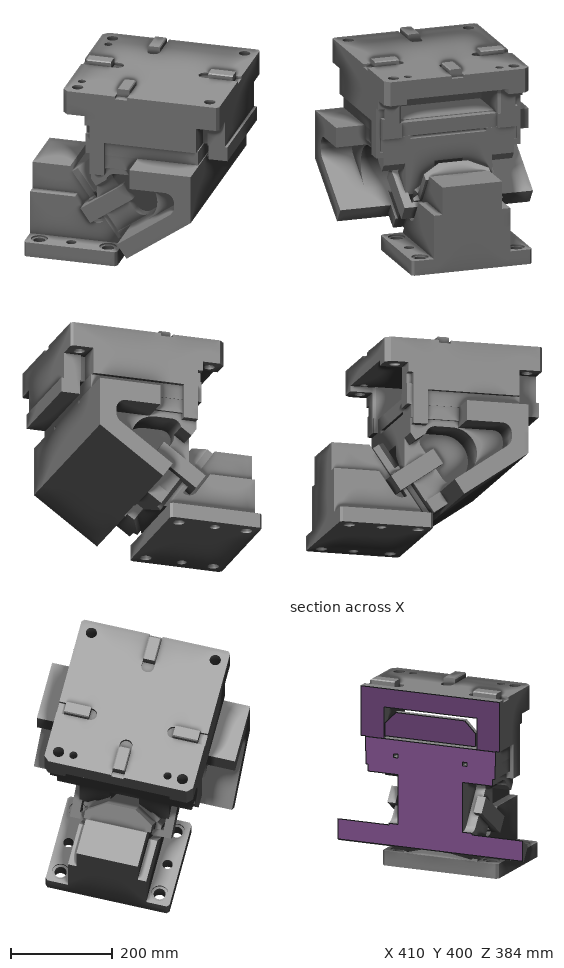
import cadquery as cq
import math


SLIDE_ANGLE = math.radians(35)
COS_SLIDE = math.cos(SLIDE_ANGLE)
SIN_SLIDE = math.sin(SLIDE_ANGLE)
FAR = 492.0
MARGIN = 4.0


def inclined(u, v):
    """X, Z position of a point given in the slide frame."""
    return u * COS_SLIDE + v * SIN_SLIDE, u * SIN_SLIDE - v * COS_SLIDE


def z_on_slide(u, x):
    """Height at which the plane of constant u reaches the given x."""
    return (u - x * COS_SLIDE) / SIN_SLIDE


def z_across_slide(v, x):
    """Height at which the plane of constant v reaches the given x."""
    return (x * SIN_SLIDE - v) / COS_SLIDE


def span_box(x_range, y_range, z_range):
    """Box between two limits on each axis."""
    size = [high - low for low, high in (x_range, y_range, z_range)]
    corner = [low for low, high in (x_range, y_range, z_range)]
    return cq.Workplane("XY").box(*size, centered=False).translate(corner)


def centred_box(x_range, half_width, z_range):
    """Box that is symmetric about Y = 0."""
    return span_box(x_range, (-half_width, half_width), z_range)


def prism(points, half_width):
    """Side outline (X, Z) extruded to both sides of Y = 0."""
    return cq.Workplane("XZ").polyline(points).close().extrude(half_width, both=True)


def inclined_bar(u_range, v_range, half_width):
    """Rectangular bar in the slide frame, symmetric about Y = 0."""
    (u0, u1), (v0, v1) = u_range, v_range
    corners = [inclined(u0, v0), inclined(u1, v0), inclined(u1, v1), inclined(u0, v1)]
    return prism(corners, half_width)


def along_slide(section, v_start, v_end):
    """Cross-section of (y, u) points extruded down the slide."""
    origin_x, origin_z = inclined(0, v_start)
    plane = cq.Plane(
        origin=(origin_x, 0, origin_z),
        xDir=(0, 1, 0),
        normal=(SIN_SLIDE, 0, -COS_SLIDE),
    )
    return cq.Workplane(plane).polyline(section).close().extrude(v_end - v_start)


def on_both_sides(shape):
    """Shape together with its mirror image across Y = 0."""
    return shape.union(shape.mirror("XZ"))


BASE_LENGTH = 190.0
BASE_HALF_WIDTH = 125.0
BASE_HEIGHT = 30.0
BASE_CHAMFER = 5.0
BOLT_INSET = 25.0
BOLT_HALF_PITCH = 100.0
BOLT_DIAMETER = 23.5
COUNTERBORE_DIAMETER = 33.5
COUNTERBORE_DEPTH = 3.3
DOWEL_X = 90.0
DOWEL_DIAMETER = 20.0

BLOCK_HALF_WIDTH = 62.0
BLOCK_TOP = 175.0
SHOULDER_HALF_WIDTH = 79.0
SHOULDER_TOP = 119.0

RIDGE_U = 201.7
RIDGE_HALF_WIDTH = 29.5
ROOF_ANGLE = math.radians(32)
HEAD_HALF_WIDTH = 67.5
HEAD_UNDERSIDE_U = 163.5
HEAD_TOP_V = -89.5
HEAD_WIDENS_V = -26.0
HEAD_BOTTOM_V = 71.0
GROOVE_WIDTH = 20.0
GROOVE_END_V = 26.2


def roof_u(y):
    """Height in u of the sloping roof at a distance y from the middle."""
    return RIDGE_U - math.tan(ROOF_ANGLE) * (y - RIDGE_HALF_WIDTH)


def roof_section(half_width, bottom_u):
    """Roof-topped cross-section of the driver ridge."""
    right = [
        (half_width, bottom_u),
        (half_width, roof_u(half_width)),
        (RIDGE_HALF_WIDTH, RIDGE_U),
    ]
    return right + [(-y, u) for y, u in reversed(right)]


def make_base_plate():
    plate = centred_box((0, BASE_LENGTH), BASE_HALF_WIDTH, (0, BASE_HEIGHT))
    plate = plate.edges("|Z").chamfer(BASE_CHAMFER)
    bolts = [
        (x, y)
        for x in (BOLT_INSET, BASE_LENGTH - BOLT_INSET)
        for y in (-BOLT_HALF_PITCH, BOLT_HALF_PITCH)
    ]
    dowels = [(DOWEL_X, -BOLT_HALF_PITCH), (DOWEL_X, BOLT_HALF_PITCH)]
    top = cq.Workplane("XY").workplane(offset=BASE_HEIGHT)
    plate = plate.cut(top.pushPoints(bolts).circle(BOLT_DIAMETER / 2).extrude(-BASE_HEIGHT))
    plate = plate.cut(top.pushPoints(bolts).circle(COUNTERBORE_DIAMETER / 2).extrude(-COUNTERBORE_DEPTH))
    return plate.cut(top.pushPoints(dowels).circle(DOWEL_DIAMETER / 2).extrude(-BASE_HEIGHT))


def driver_block(top, front_u, half_width):
    """Block on the base plate, cut off on the right by the plane of constant u."""
    right_top = (front_u - top * SIN_SLIDE) / COS_SLIDE
    right_bottom = (front_u - BASE_HEIGHT * SIN_SLIDE) / COS_SLIDE
    outline = [(0, BASE_HEIGHT), (0, top), (right_top, top), (right_bottom, BASE_HEIGHT)]
    return prism(outline, half_width)


def hook_groove():
    """Groove beneath the ridge in which the slider hooks run, with a rounded lower end."""
    inner_u = HEAD_UNDERSIDE_U - GROOVE_WIDTH
    arc_start_v = GROOVE_END_V - GROOVE_WIDTH
    diagonal = GROOVE_WIDTH * math.sqrt(0.5)
    groove = (
        cq.Workplane("XZ")
        .moveTo(*inclined(FAR, -FAR))
        .lineTo(*inclined(inner_u, -FAR))
        .lineTo(*inclined(inner_u, arc_start_v))
        .threePointArc(
            inclined(HEAD_UNDERSIDE_U - diagonal, arc_start_v + diagonal),
            inclined(HEAD_UNDERSIDE_U, GROOVE_END_V),
        )
        .lineTo(*inclined(FAR, GROOVE_END_V))
        .close()
        .extrude(SHOULDER_HALF_WIDTH, both=True)
    )
    return groove


def make_driver():
    shoulder = driver_block(SHOULDER_TOP, roof_u(SHOULDER_HALF_WIDTH), SHOULDER_HALF_WIDTH)
    lower_ridge = along_slide(
        roof_section(SHOULDER_HALF_WIDTH, HEAD_UNDERSIDE_U), HEAD_WIDENS_V, HEAD_BOTTOM_V
    )
    upper_ridge = along_slide(
        roof_section(HEAD_HALF_WIDTH, HEAD_UNDERSIDE_U), HEAD_TOP_V, HEAD_WIDENS_V
    )
    block = driver_block(BLOCK_TOP, HEAD_UNDERSIDE_U, BLOCK_HALF_WIDTH)
    driver = shoulder.cut(hook_groove()).union(lower_ridge).union(upper_ridge)
    return driver.union(block).union(make_base_plate())


FLANGE_LEFT = 131.0
FLANGE_RIGHT = 360.5
FLANGE_HALF_WIDTH = 141.0
FLANGE_TOP = 272.2
FLANGE_BOTTOM = 242.5
LEDGE_HALF_WIDTH = 140.2
LEDGE_BOTTOM = 215.2
SLIDER_LEFT = 140.2
SLIDER_RIGHT = 362.0
BODY_HALF_WIDTH = 135.3
WING_LEFT = 237.0
WING_HALF_WIDTH = 200.0
ARM_CEILING = 202.5
ARM_FLOOR_V = 55.0
ARM_BOTTOM_V = 89.5
ARM_END_U = 219.7
UPPER_BODY_END_U = 221.8
ARM_WALL_X = 328.0
CORNER_RADIUS = 20.0

WEB_HALF_WIDTH = 90.0
WEB_BASE_U = 185.5
WEB_BOTTOM_V = 83.0
FOOT_HALF_WIDTH = 95.0
POCKET_FLOOR_Y = 70.0
POCKET_WALL_U = 241.0
POCKET_RADIUS = 50.5

WEAR_PLATE_TOP_V = -33.2
WEAR_PLATE_TIP_Y = 69.3
WEAR_PLATE_THICKNESS = 9.5
CHANNEL_CLEARANCE_U = 7.5
SLOT_HALF_WIDTH = RIDGE_HALF_WIDTH

HOOK_U = (150.0, 255.5)
HOOK_V = (-23.5, 11.5)
HOOK_INNER_Y = 84.5
HOOK_OUTER_Y = 102.0
HOOK_TIP_INNER_Y = 62.7
HOOK_TIP_TOP_U = 162.5

RECESS_HALF_WIDTH = 105.5
RECESS_FLOOR_HALF_WIDTH = 100.0
RECESS_STEP_X = 132.0
RECESS_FLOOR_X = 141.0
RECESS_LIP_TOP = 270.5
DUCT_HALF_WIDTH = 79.0
DUCT_RIB_HALF_WIDTH = 70.5
DUCT_FLOOR = 236.0
DUCT_RIB_LEFT = 155.8


def pocket_curve():
    """Start, middle and end of the pocket arc, which touches the arm ceiling and the arm floor."""
    centre_z = ARM_CEILING - POCKET_RADIUS
    centre_x = (ARM_FLOOR_V - POCKET_RADIUS + centre_z * COS_SLIDE) / SIN_SLIDE
    half_sweep = (math.pi - SLIDE_ANGLE) / 2
    start = (centre_x, ARM_CEILING)
    middle = (
        centre_x + POCKET_RADIUS * math.sin(half_sweep),
        centre_z + POCKET_RADIUS * math.cos(half_sweep),
    )
    end = (centre_x + POCKET_RADIUS * SIN_SLIDE, centre_z - POCKET_RADIUS * COS_SLIDE)
    return start, middle, end


def make_wings():
    """J-shaped wings outside the slider body, open towards the driver."""
    outline = [
        (WING_LEFT, FLANGE_BOTTOM),
        (SLIDER_RIGHT, FLANGE_BOTTOM),
        (SLIDER_RIGHT, z_across_slide(ARM_BOTTOM_V, SLIDER_RIGHT)),
        inclined(ARM_END_U, ARM_BOTTOM_V),
        inclined(ARM_END_U, ARM_FLOOR_V),
        (ARM_WALL_X, z_across_slide(ARM_FLOOR_V, ARM_WALL_X)),
        (ARM_WALL_X, ARM_CEILING),
        (WING_LEFT, ARM_CEILING),
    ]
    wings = prism(outline, WING_HALF_WIDTH)
    inner_corners = cq.selectors.BoxSelector(
        (ARM_WALL_X - MARGIN, -FAR, 0), (ARM_WALL_X + MARGIN, FAR, ARM_CEILING + MARGIN)
    )
    wings = wings.edges("|Y").edges(inner_corners).fillet(CORNER_RADIUS)
    return wings.cut(centred_box((0, FAR), BODY_HALF_WIDTH, (0, FAR)))


def make_body():
    """Full-width body between the wings, still without its side pockets."""
    outline = [
        (SLIDER_LEFT, FLANGE_BOTTOM),
        (SLIDER_RIGHT, FLANGE_BOTTOM),
        (SLIDER_RIGHT, z_across_slide(ARM_BOTTOM_V, SLIDER_RIGHT)),
        inclined(ARM_END_U, ARM_BOTTOM_V),
        inclined(ARM_END_U, ARM_FLOOR_V),
        inclined(UPPER_BODY_END_U, ARM_FLOOR_V),
        (SLIDER_LEFT, z_on_slide(UPPER_BODY_END_U, SLIDER_LEFT)),
    ]
    return prism(outline, BODY_HALF_WIDTH)


def make_web():
    """Narrow lower part of the slider, with a wider foot at its lower end."""
    outline = [
        (SLIDER_LEFT, FLANGE_BOTTOM),
        inclined(POCKET_WALL_U, WEB_BOTTOM_V),
        inclined(WEB_BASE_U, WEB_BOTTOM_V),
        (SLIDER_LEFT, z_on_slide(WEB_BASE_U, SLIDER_LEFT)),
    ]
    foot = inclined_bar((WEB_BASE_U, POCKET_WALL_U), (ARM_FLOOR_V, WEB_BOTTOM_V), FOOT_HALF_WIDTH)
    return prism(outline, WEB_HALF_WIDTH).union(foot)


def side_relief():
    """Space beside the web between the two arms."""
    relief = inclined_bar(
        (ARM_END_U, POCKET_WALL_U + CORNER_RADIUS), (-ARM_FLOOR_V, ARM_FLOOR_V), BODY_HALF_WIDTH
    )
    keep = centred_box((0, FAR), WEB_HALF_WIDTH, (0, FAR))
    ceiling = centred_box((0, FAR), BODY_HALF_WIDTH, (ARM_CEILING, FAR))
    return relief.cut(keep).cut(ceiling)


def side_pockets():
    """Rounded pockets sunk into both sides of the slider."""
    ceiling_point, arc_middle, floor_point = pocket_curve()
    wall_top_x = (POCKET_WALL_U - ARM_CEILING * SIN_SLIDE) / COS_SLIDE
    depth = BODY_HALF_WIDTH - POCKET_FLOOR_Y
    pocket = (
        cq.Workplane("XZ", origin=(0, -POCKET_FLOOR_Y, 0))
        .moveTo(wall_top_x, ARM_CEILING)
        .lineTo(*ceiling_point)
        .threePointArc(arc_middle, floor_point)
        .lineTo(*inclined(POCKET_WALL_U, ARM_FLOOR_V))
        .close()
        .extrude(depth)
    )
    wall_foot_x, _ = inclined(POCKET_WALL_U, ARM_FLOOR_V)
    wall_corners = cq.selectors.BoxSelector(
        (wall_top_x - MARGIN, -FAR, 0), (wall_foot_x + MARGIN, 0, FAR)
    )
    pocket = pocket.edges("|Y").edges(wall_corners).fillet(CORNER_RADIUS)
    return on_both_sides(pocket)


def ridge_channel():
    """Clearance for the driver ridge, with a slot above the ridge top."""
    edge_y = WEB_HALF_WIDTH + MARGIN
    half = [
        (edge_y, 0),
        (edge_y, roof_u(edge_y) + CHANNEL_CLEARANCE_U),
        (SLOT_HALF_WIDTH, RIDGE_U + CHANNEL_CLEARANCE_U),
        (SLOT_HALF_WIDTH, UPPER_BODY_END_U),
    ]
    section = half + [(-y, u) for y, u in reversed(half)]
    return along_slide(section, -FAR, FAR)


def make_wear_plates():
    """Plates lining the channel, resting on the sloping faces of the ridge."""
    square_y = WEAR_PLATE_THICKNESS * math.sin(ROOF_ANGLE)
    square_u = WEAR_PLATE_THICKNESS * math.cos(ROOF_ANGLE)
    tip_u = roof_u(WEAR_PLATE_TIP_Y)
    thickness_u = WEAR_PLATE_THICKNESS / math.cos(ROOF_ANGLE)
    section = [
        (SLOT_HALF_WIDTH, RIDGE_U),
        (WEAR_PLATE_TIP_Y, tip_u),
        (WEAR_PLATE_TIP_Y + square_y, tip_u + square_u),
        (SLOT_HALF_WIDTH, RIDGE_U + thickness_u),
    ]
    return on_both_sides(along_slide(section, WEAR_PLATE_TOP_V, WEB_BOTTOM_V))


def make_hooks():
    """Retaining hooks on both sides that reach under the driver ridge."""
    plate = inclined_bar(HOOK_U, HOOK_V, HOOK_OUTER_Y)
    plate = plate.cut(centred_box((0, FAR), HOOK_INNER_Y, (0, FAR)))
    tip = inclined_bar((HOOK_U[0], HOOK_TIP_TOP_U), HOOK_V, HOOK_INNER_Y)
    tip = tip.cut(centred_box((0, FAR), HOOK_TIP_INNER_Y, (0, FAR)))
    return plate.union(tip)


def make_flange():
    """Top flange that slides in the holder, with a stepped recess in its left end."""
    flange = centred_box((FLANGE_LEFT, FLANGE_RIGHT), FLANGE_HALF_WIDTH, (FLANGE_BOTTOM, FLANGE_TOP))
    ledge = centred_box((SLIDER_LEFT, SLIDER_RIGHT), LEDGE_HALF_WIDTH, (LEDGE_BOTTOM, FLANGE_BOTTOM))
    recess_z = (FLANGE_BOTTOM, FLANGE_TOP)
    mouth = centred_box((FLANGE_LEFT, RECESS_STEP_X), RECESS_HALF_WIDTH, recess_z)
    recess = centred_box((FLANGE_LEFT, RECESS_FLOOR_X), RECESS_FLOOR_HALF_WIDTH, recess_z)
    lip = centred_box(
        (RECESS_FLOOR_X, DUCT_RIB_LEFT), RECESS_FLOOR_HALF_WIDTH, (RECESS_LIP_TOP, FLANGE_TOP)
    )
    return flange.cut(mouth).cut(recess).cut(lip).union(ledge)


def through_ducts():
    """Low duct under the flange, split in two by a rib behind its mouth."""
    duct = centred_box((0, FAR), DUCT_HALF_WIDTH, (DUCT_FLOOR, FLANGE_BOTTOM))
    rib = centred_box((DUCT_RIB_LEFT, FAR), DUCT_RIB_HALF_WIDTH, (DUCT_FLOOR, FLANGE_BOTTOM))
    return duct.cut(rib)


def make_slider():
    slider = make_body().union(make_web()).union(make_wings())
    slider = slider.cut(side_relief()).cut(side_pockets()).cut(ridge_channel())
    slider = slider.union(make_wear_plates()).union(make_flange())
    return slider.cut(through_ducts()).union(make_hooks())


PLATE_LEFT = 85.5
PLATE_RIGHT = 404.5
PLATE_HALF_WIDTH = 150.0
PLATE_TOP = 374.0
PLATE_BOTTOM = 324.5
PLATE_LEFT_CHAMFER = 10.2
PLATE_RIGHT_CHAMFER = 5.0
HOLDER_RIGHT = 358.5
CORNER_HOLE_X = (110.3, 379.5)
CORNER_HOLE_Y = 125.0
CORNER_HOLE_DIAMETER = 22.0
PIN_HOLE_Y = 95.0
PIN_HOLE_DIAMETER = 16.0

KEY_X = 206.0
KEY_WIDTH = 25.0
KEY_LENGTH = 50.0
KEY_TOP = 384.0
KEY_SEAT = 368.0
KEY_CHAMFER = 2.0
SLOT_LENGTH_X = 83.0
SLOT_LENGTH_Y = 78.7
KEY_INSET_X = 10.2
KEY_INSET_Y = 15.0

LEG_LEFT = 141.5
LEG_RIGHT = 171.0
LEG_CLEARANCE = 1.2
NOTCH_INNER_Y = BODY_HALF_WIDTH
NOTCH_Z = (284.5, 305.5)

CAVITY_TOP = 335.5
CAVITY_BACK = 246.0
BOSS_LEFT = 225.5
BOSS_HALF_WIDTH = 98.5
BOSS_Z = (277.0, 328.0)
BOSS_CHAMFER = 23.8

STOP_HALF_WIDTH = 105.5
STOP_BRIDGE_HALF_WIDTH = 98.5
STOP_LEFT = 369.5
STOP_STEP_LEFT = 371.0
STOP_RIGHT = 410.0


def make_plate():
    plate = centred_box((PLATE_LEFT, PLATE_RIGHT), PLATE_HALF_WIDTH, (PLATE_BOTTOM, PLATE_TOP))
    plate = plate.edges("|Z and <X").chamfer(PLATE_LEFT_CHAMFER)
    return plate.edges("|Z and >X").chamfer(PLATE_RIGHT_CHAMFER)


def plate_holes():
    """Corner bolt holes and the two pin holes near the left edge."""
    height = PLATE_TOP - PLATE_BOTTOM
    corners = [(x, side * CORNER_HOLE_Y) for x in CORNER_HOLE_X for side in (-1, 1)]
    pins = [(CORNER_HOLE_X[0], side * PIN_HOLE_Y) for side in (-1, 1)]
    base = cq.Workplane("XY").workplane(offset=PLATE_BOTTOM)
    holes = base.pushPoints(corners).circle(CORNER_HOLE_DIAMETER / 2).extrude(height)
    return holes.union(base.pushPoints(pins).circle(PIN_HOLE_DIAMETER / 2).extrude(height))


def key_slot(length):
    """Round-ended slot along +X from the origin."""
    straight = length - KEY_WIDTH / 2
    height = PLATE_TOP - KEY_SEAT
    slot = cq.Workplane("XY").box(straight, KEY_WIDTH, height, centered=(False, True, False))
    end = cq.Workplane("XY").center(straight, 0).circle(KEY_WIDTH / 2).extrude(height)
    return slot.union(end)


def key(inset):
    """Bevelled key lying along +X, set back from the slot mouth."""
    bar = cq.Workplane("XY").box(
        KEY_LENGTH, KEY_WIDTH, KEY_TOP - KEY_SEAT, centered=(False, True, False)
    )
    return bar.edges("|X and >Z").chamfer(KEY_CHAMFER).translate((inset, 0, 0))


def add_keys(holder):
    """Four keyed slots, one at the middle of each plate edge."""
    places = [
        ((PLATE_LEFT, 0), 0, SLOT_LENGTH_X, KEY_INSET_X),
        ((PLATE_RIGHT, 0), 180, SLOT_LENGTH_X, KEY_INSET_X),
        ((KEY_X, -PLATE_HALF_WIDTH), 90, SLOT_LENGTH_Y, KEY_INSET_Y),
        ((KEY_X, PLATE_HALF_WIDTH), 270, SLOT_LENGTH_Y, KEY_INSET_Y),
    ]
    for (x, y), turn, slot_length, inset in places:
        slot = key_slot(slot_length).rotate((0, 0, 0), (0, 0, 1), turn)
        bar = key(inset).rotate((0, 0, 0), (0, 0, 1), turn)
        holder = holder.cut(slot.translate((x, y, KEY_SEAT)))
        holder = holder.union(bar.translate((x, y, KEY_SEAT)))
    return holder


def make_guide_body():
    """Block under the plate, with legs whose feet reach under the slider flange."""
    body = centred_box((FLANGE_LEFT, HOLDER_RIGHT), PLATE_HALF_WIDTH, (FLANGE_TOP, PLATE_BOTTOM))
    notch = span_box((FLANGE_LEFT, LEG_LEFT), (-PLATE_HALF_WIDTH, -NOTCH_INNER_Y), NOTCH_Z)
    rebate = span_box(
        (FLANGE_LEFT, LEG_LEFT), (-PLATE_HALF_WIDTH, -FLANGE_HALF_WIDTH), (FLANGE_TOP, NOTCH_Z[0])
    )
    leg_x = (LEG_LEFT, LEG_RIGHT)
    leg_inner_y = FLANGE_HALF_WIDTH + LEG_CLEARANCE
    foot_top = LEDGE_BOTTOM - LEG_CLEARANCE
    leg = span_box(leg_x, (-PLATE_HALF_WIDTH, -leg_inner_y), (ARM_CEILING, FLANGE_TOP))
    foot = span_box(leg_x, (-PLATE_HALF_WIDTH, -BODY_HALF_WIDTH), (ARM_CEILING, foot_top))
    slit = span_box(leg_x, (-leg_inner_y, -FLANGE_HALF_WIDTH), (FLANGE_TOP, NOTCH_Z[0]))
    body = body.cut(on_both_sides(notch.union(rebate).union(slit)))
    return body.union(on_both_sides(leg.union(foot)))


def bevelled_mouth():
    """Mouth of the cavity: straight through the plate edge, bevelled at the guide body face."""
    bevel = RECESS_HALF_WIDTH - RECESS_FLOOR_HALF_WIDTH
    half = [
        (PLATE_LEFT, RECESS_HALF_WIDTH),
        (FLANGE_LEFT, RECESS_HALF_WIDTH),
        (FLANGE_LEFT + bevel, RECESS_FLOOR_HALF_WIDTH),
    ]
    outline = half + [(x, -y) for x, y in reversed(half)]
    floor = cq.Workplane("XY").workplane(offset=FLANGE_TOP)
    return floor.polyline(outline).close().extrude(CAVITY_TOP - FLANGE_TOP)


def make_cavity():
    """Opening through the left end of the holder, with a bevelled boss on its back wall."""
    cavity_z = (FLANGE_TOP, CAVITY_TOP)
    chamber = centred_box((FLANGE_LEFT, CAVITY_BACK), RECESS_FLOOR_HALF_WIDTH, cavity_z)
    boss = centred_box((BOSS_LEFT, CAVITY_BACK), BOSS_HALF_WIDTH, BOSS_Z)
    boss = boss.edges("|X and >Z").chamfer(BOSS_CHAMFER)
    return bevelled_mouth().union(chamber).cut(boss)


def make_stop():
    """Stop block hanging from the plate behind the slider."""
    bridge = centred_box((HOLDER_RIGHT, STOP_LEFT), STOP_BRIDGE_HALF_WIDTH, (FLANGE_TOP, PLATE_BOTTOM))
    upper = centred_box((STOP_LEFT, PLATE_RIGHT), STOP_HALF_WIDTH, (FLANGE_TOP, PLATE_BOTTOM))
    lower = centred_box((STOP_STEP_LEFT, STOP_RIGHT), STOP_HALF_WIDTH, (FLANGE_BOTTOM, FLANGE_TOP))
    return bridge.union(upper).union(lower)


def make_holder():
    holder = make_plate().cut(plate_holes()).union(make_guide_body()).cut(make_cavity())
    return add_keys(holder.union(make_stop()))


driver = make_driver()
slider = make_slider()
holder = make_holder()
result = cq.Compound.makeCompound([driver.solids().val(), slider.solids().val(), holder.solids().val()])